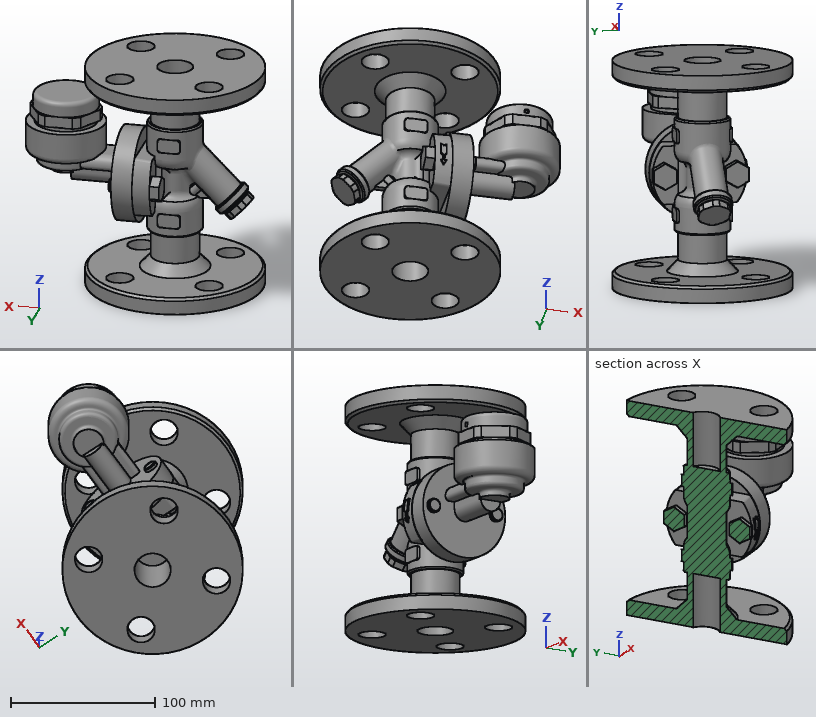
import cadquery as cq
import math

total_length = 168.1
total_height = 160.0
mid_z = total_height / 2

flange_dia = 125.0
flange_thickness = 12.0
flange_chamfer = 1.8
bolt_circle_dia = 90.0
bolt_hole_dia = 19.0
pipe_dia = 34.0
hub_dia = 49.3
hub_top_z = 20.0
bore_dia = 25.0

body_dia = 39.0
body_bottom_z = 40.0
body_chamfer = 1.2
cup_edge_z = 58.8
cup_rim_z = 65.9
cup_rim_radius = 17.0
cup_round_radius = 11.1
side_axis_z = 78.0
neck_half_height = side_axis_z - cup_rim_z
neck_cove_radius = 5.7
neck_radius = cup_rim_radius - neck_cove_radius

plate_width = 16.1
plate_height = 10.1
plate_corner_radius = 2.5
plate_offset_z = 27.9
plate_stand_off = 0.2

pad_x = 10.5
disc_x = 22.9
disc_dia = 67.0
pad_dia = 66.4
disc_thickness = 15.0
disc_back_x = disc_x + disc_thickness
pad_half_height = 20.5
pad_draft_rise = 0.8
pad_edge_radius = 2.5
side_bolt_spacing = 50.8
side_bolt_head_flats = 16.0
side_bolt_head_height = 6.9
side_bolt_dia = 9.5
side_bolt_tip_length = 2.7
side_bolt_tip_chamfer = 0.7

arrow_center_x = 16.5
arrow_height = 16.6
arrow_half_width = 2.0
arrow_stem_half_width = 0.7
arrow_notch = 1.3
arrow_tail_length = 8.0
arrow_head_length = 3.4
arrow_relief = 1.2

arm_keel_radius = 7.9
arm_keel_end_x = 72.5
arm_bar_half_width = 15.3
arm_bar_bottom_z = 83.0
arm_bar_height = 10.6
arm_bar_top_round = 7.2
arm_bar_bottom_round = arm_bar_height - arm_bar_top_round

capsule_dia = 56.0
capsule_axis_x = total_length - flange_dia / 2 - capsule_dia / 2
pin_bottom_z = 77.8
pin_dia = 21.0
pin_root_radius = 2.0
step_bottom_z = 82.5
step_dia = 41.0
step_round = 2.7
capsule_bottom_z = 90.3
step_root_radius = 1.5
capsule_round = 4.5
capsule_top_z = 113.1
groove_dia = 44.0
cap_hex_bottom_z = 116.2
cap_hex_top_z = 124.2
cap_hex_flats = 46.0
cap_hex_corner_dia = 50.1
cap_top_z = 134.8
cap_round = 3.2
vent_dia = 3.2
vent_depth = 1.7
vent_z = 128.0

branch_angle = 45
branch_origin_z = 106.5
branch_dia = 23.0
branch_root_radius = 3.4
collar_dia = 27.0
collar_start = 54.3
collar_end = 60.5
collar_chamfer = 1.0
plug_neck_dia = 19.0
plug_start = 62.0
plug_end = 67.2
plug_flats = 21.9

strut_dia = 7.4
strut_position = 35.8
strut_length = 28.5
web_thickness = 4.0
web_tip_x = -25.2
web_bottom_z = 64.9

edge_reach = 0.2


def cylinder(dia, z_bottom, z_top):
    """Vertical round bar between two heights."""
    return cq.Workplane("XY", origin=(0, 0, z_bottom)).circle(dia / 2).extrude(z_top - z_bottom)


def hexagon(flats, z_bottom, z_top):
    """Vertical hexagonal bar with two flats facing +Y and -Y."""
    across_corners = flats / math.cos(math.pi / 6)
    return cq.Workplane("XY", origin=(0, 0, z_bottom)).polygon(6, across_corners).extrude(z_top - z_bottom)


def side_bar(dia, x_start, x_end, y=0):
    """Round bar along +X at the height of the side connection."""
    start = (x_start, y, side_axis_z)
    return cq.Workplane("YZ", origin=start).circle(dia / 2).extrude(x_end - x_start)


def mirrored_about(solid, z):
    """Copy of a solid, flipped top to bottom about height z."""
    return solid.mirror("XY", (0, 0, z))


def pipe_end():
    """Drilled flange, conical hub and pipe stub below the body."""
    end = cylinder(flange_dia, 0, flange_thickness).faces(">Z").edges().chamfer(flange_chamfer)
    hub = (
        cq.Workplane("XZ")
        .moveTo(0, flange_thickness)
        .lineTo(hub_dia / 2, flange_thickness)
        .lineTo(pipe_dia / 2, hub_top_z)
        .lineTo(pipe_dia / 2, body_bottom_z)
        .lineTo(0, body_bottom_z)
        .close()
        .revolve()
    )
    pitch = bolt_circle_dia / math.sqrt(2)
    end = end.faces("<Z").workplane(centerOption="CenterOfBoundBox")
    end = end.rect(pitch, pitch, forConstruction=True).vertices().hole(bolt_hole_dia)
    return end.union(hub)


def body_cup():
    """Lower cup of the body with a rounded shoulder."""
    round_angle = math.asin((cup_rim_z - cup_edge_z) / cup_round_radius) / 2
    round_mid_x = body_dia / 2 - cup_round_radius * (1 - math.cos(round_angle))
    round_mid_z = cup_edge_z + cup_round_radius * math.sin(round_angle)
    return (
        cq.Workplane("XZ")
        .moveTo(0, body_bottom_z)
        .lineTo(body_dia / 2 - body_chamfer, body_bottom_z)
        .lineTo(body_dia / 2, body_bottom_z + body_chamfer)
        .lineTo(body_dia / 2, cup_edge_z)
        .threePointArc((round_mid_x, round_mid_z), (cup_rim_radius, cup_rim_z))
        .lineTo(0, cup_rim_z)
        .close()
        .revolve()
    )


def upper_cup():
    """Upper cup: the lower one flipped about the side axis, lengthened to the upper pipe."""
    flipped = mirrored_about(body_cup(), side_axis_z)
    body_top_z = total_height - body_bottom_z
    extension = cylinder(body_dia, 2 * side_axis_z - cup_edge_z, body_top_z)
    return flipped.union(extension.faces(">Z").edges().chamfer(body_chamfer))


def neck():
    """Waist between the cups: round toward -X, flat-sided toward the side pad."""
    low = side_axis_z - neck_half_height
    high = side_axis_z + neck_half_height
    cove_inset = neck_cove_radius * (1 - math.sqrt(0.5))
    round_half = (
        cq.Workplane("XZ")
        .moveTo(0, low)
        .lineTo(cup_rim_radius, low)
        .threePointArc((neck_radius + cove_inset, low + cove_inset), (neck_radius, low + neck_cove_radius))
        .lineTo(neck_radius, high - neck_cove_radius)
        .threePointArc((neck_radius + cove_inset, high - cove_inset), (cup_rim_radius, high))
        .lineTo(0, high)
        .close()
        .revolve()
    )
    flat_half = cylinder(2 * cup_rim_radius, low, high)
    pocket_length = 4 * neck_cove_radius
    pocket = (
        cq.Workplane("XY")
        .box(pocket_length, body_dia, 2 * neck_half_height, centered=(False, False, True))
        .translate((neck_cove_radius - pocket_length, neck_radius, side_axis_z))
        .faces("<Y")
        .edges("not <X")
        .fillet(neck_cove_radius)
    )
    behind_axis = cq.Workplane("XY").box(
        body_dia, 2 * body_dia, total_height, centered=(False, True, False)
    ).translate((-body_dia, 0, 0))
    flat_half = flat_half.cut(behind_axis).cut(pocket).cut(pocket.mirror("XZ"))
    return round_half.union(flat_half)


def label_plates():
    """Four flat plates with rounded corners on the +Y and -Y sides of the cups."""
    centers = [(0, mid_z - plate_offset_z), (0, mid_z + plate_offset_z)]
    return (
        cq.Workplane("XZ")
        .pushPoints(centers)
        .rect(plate_width, plate_height)
        .extrude(body_dia / 2 + plate_stand_off, both=True)
        .edges("|Y")
        .fillet(plate_corner_radius)
    )


def side_pad():
    """Drafted pad between the body and the disc, with rounded corners."""
    half_back = pad_half_height + pad_draft_rise
    outline = [
        (pad_x, side_axis_z - pad_half_height),
        (disc_x, side_axis_z - half_back),
        (disc_x, side_axis_z + half_back),
        (pad_x, side_axis_z + pad_half_height),
    ]
    slab = cq.Workplane("XZ").polyline(outline).close().extrude(disc_dia, both=True)
    pad = side_bar(pad_dia, pad_x, disc_x).intersect(slab)
    return pad.edges("not(<X or >X)").edges("not #X").fillet(pad_edge_radius)


def flow_arrow():
    """Raised arrow on the -Y rim of the pad, pointing down."""
    top_z = side_axis_z + arrow_height / 2
    tail_z = top_z - arrow_tail_length
    tip_z = top_z - arrow_height
    head_z = tip_z + arrow_head_length
    right_side = [
        (arrow_half_width, top_z),
        (arrow_half_width, tail_z),
        (arrow_stem_half_width, tail_z - arrow_notch),
        (arrow_stem_half_width, head_z),
        (arrow_half_width, head_z),
    ]
    left_side = [(-x, z) for x, z in reversed(right_side)]
    outline = [(0, top_z - arrow_notch)] + right_side + [(0, tip_z)] + left_side
    arrow = (
        cq.Workplane("XZ", origin=(arrow_center_x, 0, 0))
        .polyline(outline)
        .close()
        .extrude(disc_dia)
    )
    shell = side_bar(pad_dia + 2 * arrow_relief, pad_x, disc_x)
    core = side_bar(pad_dia - 2 * arrow_relief, pad_x, disc_x)
    return arrow.intersect(shell).cut(core)


def side_bolt(y):
    """Hexagon head in front of the pad and threaded tip behind the disc."""
    head_corners = side_bolt_head_flats / math.cos(math.pi / 6)
    head = (
        cq.Workplane("YZ", origin=(pad_x, y, side_axis_z))
        .transformed(rotate=(0, 0, 90))
        .polygon(6, head_corners)
        .extrude(-side_bolt_head_height)
    )
    shank = side_bar(side_bolt_dia, pad_x, disc_back_x + side_bolt_tip_length, y)
    return head.union(shank.faces(">X").edges().chamfer(side_bolt_tip_chamfer))


def side_connection():
    """Pad, disc, arrow and the two bolts."""
    connection = side_pad().union(side_bar(disc_dia, disc_x, disc_back_x)).union(flow_arrow())
    for side in (-1, 1):
        connection = connection.union(side_bolt(side * side_bolt_spacing / 2))
    return connection


def arm():
    """Wide rounded bar above a narrower U-shaped keel."""
    bar_outline = (
        cq.Workplane("YZ", origin=(disc_x, 0, arm_bar_bottom_z))
        .moveTo(0, 0)
        .lineTo(arm_bar_half_width - arm_bar_bottom_round, 0)
        .tangentArcPoint((arm_bar_half_width, arm_bar_bottom_round), relative=False)
        .tangentArcPoint((arm_bar_half_width - arm_bar_top_round, arm_bar_height), relative=False)
        .lineTo(0, arm_bar_height)
        .mirrorY()
    )
    bar = bar_outline.extrude(capsule_axis_x - disc_x)
    keel_side_height = arm_bar_bottom_z - side_axis_z
    keel = (
        cq.Workplane("YZ", origin=(disc_x, 0, side_axis_z))
        .moveTo(-arm_keel_radius, keel_side_height)
        .lineTo(-arm_keel_radius, 0)
        .threePointArc((0, -arm_keel_radius), (arm_keel_radius, 0))
        .lineTo(arm_keel_radius, keel_side_height)
        .close()
        .extrude(arm_keel_end_x - disc_x)
    )
    return bar.union(keel)


def ring_at(dia, z):
    """Selector for the circular edge of a given diameter, centred on the Z axis at height z."""
    reach = dia / 2 + edge_reach
    corner = (reach, reach, z + edge_reach)
    opposite = (-reach, -reach, z - edge_reach)
    return cq.selectors.BoxSelector(opposite, corner, boundingbox=True)


def capsule():
    """Trap capsule with stepped underside, hexagon band and rounded cap."""
    pin = cylinder(pin_dia, pin_bottom_z, step_bottom_z)
    step = cylinder(step_dia, step_bottom_z, capsule_bottom_z).faces("<Z").edges().fillet(step_round)
    base = step.union(pin)
    base = base.edges(ring_at(pin_dia, step_bottom_z)).fillet(pin_root_radius)
    shell = cylinder(capsule_dia, capsule_bottom_z, capsule_top_z).faces("<Z").edges().fillet(capsule_round)
    base = base.union(shell)
    base = base.edges(ring_at(step_dia, capsule_bottom_z)).fillet(step_root_radius)
    groove = cylinder(groove_dia, capsule_top_z, cap_hex_bottom_z)
    band = hexagon(cap_hex_flats, cap_hex_bottom_z, cap_hex_top_z)
    band = band.intersect(cylinder(cap_hex_corner_dia, cap_hex_bottom_z, cap_hex_top_z))
    cap = cylinder(cap_hex_flats, cap_hex_top_z, cap_top_z).faces(">Z").edges().fillet(cap_round)
    vent_start = cap_hex_flats / 2 - vent_depth
    vent = (
        cq.Workplane("XZ", origin=(0, -vent_start, vent_z))
        .circle(vent_dia / 2)
        .extrude(2 * vent_depth)
    )
    stack = base.union(groove).union(band).union(cap).cut(vent)
    return stack.translate((capsule_axis_x, 0, 0))


def along_branch(solid):
    """Place a solid built up +Z from the origin along the strainer branch."""
    tilt = -(180 - branch_angle)
    return solid.rotate((0, 0, 0), (0, 1, 0), tilt).translate((0, 0, branch_origin_z))


def strainer_plug():
    """Collar and hexagon plug at the end of the strainer branch."""
    collar = cylinder(collar_dia, collar_start, collar_end).edges().chamfer(collar_chamfer)
    plug_neck = cylinder(plug_neck_dia, collar_end, plug_start)
    plug = hexagon(plug_flats, plug_start, plug_end)
    plug = plug.intersect(cylinder(branch_dia, plug_start, plug_end))
    return along_branch(collar.union(plug_neck).union(plug))


def strut():
    """Round strut and flat web between the strainer branch and the lower cup."""
    post = (
        cq.Workplane("YZ", origin=(0, 0, strut_position))
        .circle(strut_dia / 2)
        .extrude(strut_length)
    )
    post = along_branch(post.mirror("YZ"))
    web_outline = [
        (web_tip_x, web_bottom_z),
        (0, web_bottom_z),
        (0, branch_origin_z),
        (web_tip_x, branch_origin_z + web_tip_x),
    ]
    web = cq.Workplane("XZ").polyline(web_outline).close().extrude(web_thickness / 2, both=True)
    return post.union(web)


branch_root = cq.selectors.BoxSelector((-body_dia, -body_dia, 0), (0, body_dia, total_height))
body = body_cup().union(upper_cup()).union(neck())
branch = along_branch(cylinder(branch_dia, 0, collar_start))
result = body.union(branch).edges("%BSPLINE").edges(branch_root).fillet(branch_root_radius)
lower_end = pipe_end()
result = result.union(lower_end).union(mirrored_about(lower_end, mid_z)).union(label_plates())
result = result.union(strainer_plug()).union(strut())
result = result.union(side_connection()).union(arm()).union(capsule())

bore = cylinder(bore_dia, 0, body_bottom_z)
result = result.cut(bore).cut(mirrored_about(bore, mid_z))